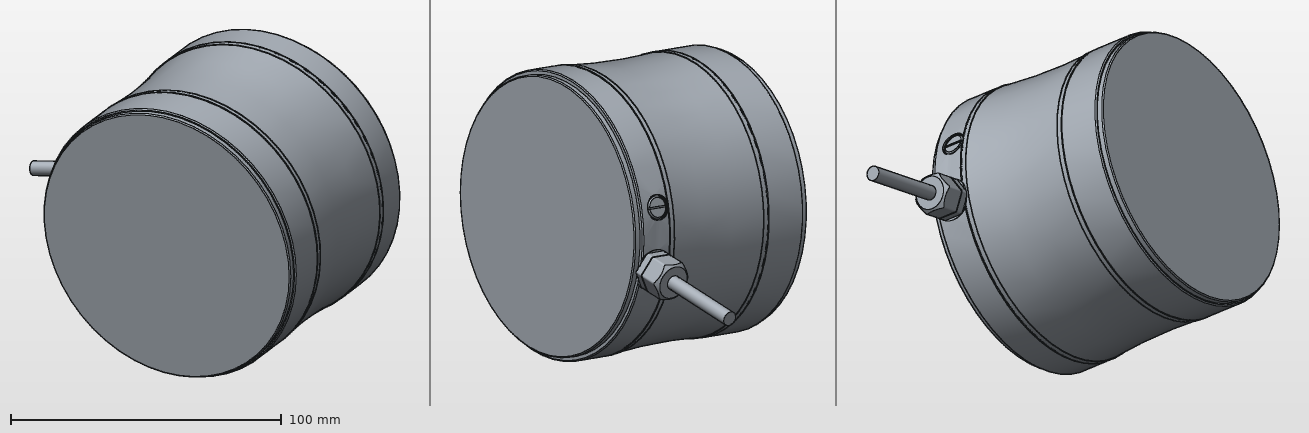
import cadquery as cq
import math

total_length = 80.7
rear_ring_radius = 109.0 / 2
front_ring_radius = 53.6
cap_radius = 52.7
waist_radius = 52.9
barrel_end_recess = 0.3
cap_length = 2.5
front_ring_end = 18.9
rear_ring_start = 65.3
flange_length = 2.0
edge_bevel = 0.5

gland_angle = -13
gland_y = 71.9
gland_seat = 53.8
gland_joint = 57.0
gland_end = 66.4
hex_width = 14.0
hex_edge_radius = 0.9
nut_end_radius = 6.3
nut_bevel_angle = 45
nut_joint_bevel = 0.3
recess_radius = 8.0
cable_radius = 2.8
cable_end = 101.1

screw_angle = 12
screw_y = 70.2
screw_radius = 4.3
screw_top = 54.2
screw_length = 4.6
screw_bevel = 0.6
slot_width = 0.6
slot_depth = 0.8
seal_radius = 4.8
seal_drop = 0.5


def make_disc(radius, start, end):
    """Plain round body on the housing axis."""
    plane = cq.Workplane("XZ", origin=(0, start, 0))
    return plane.circle(radius).extrude(start - end)


def make_barrel():
    """Barrel with a plain flange at each end and a hollow-curved wall between them."""
    front_flange_end = front_ring_end + flange_length
    rear_flange_start = rear_ring_start - flange_length
    waist_y = (front_flange_end + rear_flange_start) / 2
    front_wall_radius = front_ring_radius - barrel_end_recess
    rear_wall_radius = rear_ring_radius - barrel_end_recess
    return (
        cq.Workplane("YZ")
        .moveTo(front_ring_end, 0)
        .lineTo(front_ring_end, front_ring_radius)
        .lineTo(front_flange_end, front_ring_radius)
        .lineTo(front_flange_end, front_wall_radius)
        .threePointArc((waist_y, waist_radius), (rear_flange_start, rear_wall_radius))
        .lineTo(rear_flange_start, rear_ring_radius)
        .lineTo(rear_ring_start, rear_ring_radius)
        .lineTo(rear_ring_start, 0)
        .close()
        .revolve(360, (0, 0, 0), (1, 0, 0))
    )


def radial_plane(angle, y, distance):
    """Plane facing away from the housing axis, its local x along Y."""
    turn = math.radians(angle)
    outward = cq.Vector(-math.cos(turn), 0, math.sin(turn))
    origin = outward * distance + cq.Vector(0, y, 0)
    return cq.Workplane(cq.Plane(origin=origin, xDir=(0, 1, 0), normal=outward))


def radial_cylinder(angle, y, radius, start, end):
    """Cylinder pointing away from the housing axis."""
    return radial_plane(angle, y, start).circle(radius).extrude(end - start)


def gland_hexagon(start, end):
    """Hexagon on the gland axis with rounded long edges."""
    plane = radial_plane(gland_angle, gland_y, start)
    along_axis = cq.selectors.ParallelDirSelector(plane.plane.zDir)
    corner_diameter = hex_width / math.cos(math.radians(30))
    hexagon = plane.polygon(6, corner_diameter).extrude(end - start)
    return hexagon.edges(along_axis).fillet(hex_edge_radius)


def make_gland_nut():
    """Nut bevelled to a circle at its outer end and along its edges at the joint."""
    length = gland_end - gland_joint
    cone = (
        radial_plane(gland_angle, gland_y, gland_end)
        .circle(nut_end_radius)
        .extrude(-length, taper=-nut_bevel_angle)
    )
    nut = gland_hexagon(gland_joint, gland_end)
    nut = nut.faces(">X").chamfer(nut_joint_bevel)
    return nut.intersect(cone)


def make_screw(bottom):
    """Screw with a bevelled, slotted head."""
    body = radial_cylinder(screw_angle, screw_y, screw_radius, bottom, screw_top)
    slot = (
        radial_plane(screw_angle, screw_y, screw_top)
        .rect(2 * screw_radius, slot_width)
        .extrude(-slot_depth)
    )
    return body.faces("<X").chamfer(screw_bevel).cut(slot)


cable = radial_cylinder(gland_angle, gland_y, cable_radius, gland_joint, cable_end)
gland_base = gland_hexagon(gland_seat, gland_joint)
gland_nut = make_gland_nut().cut(cable)
gland_recess = radial_cylinder(gland_angle, gland_y, recess_radius, gland_seat, gland_joint)

screw_bottom = screw_top - screw_length
screw = make_screw(screw_bottom)
screw_hole = radial_cylinder(screw_angle, screw_y, seal_radius, screw_bottom, rear_ring_radius)
seal = (
    radial_plane(screw_angle, screw_y, screw_bottom)
    .circle(seal_radius)
    .circle(screw_radius)
    .extrude(screw_length - seal_drop)
)

rear_ring_end = total_length - cap_length
front_cap = make_disc(cap_radius, 0, cap_length).faces("<Y").chamfer(edge_bevel)
front_ring = make_disc(front_ring_radius, cap_length, front_ring_end).edges().chamfer(edge_bevel)
barrel = make_barrel().cut(gland_recess)
rear_ring = make_disc(rear_ring_radius, rear_ring_start, rear_ring_end).edges().chamfer(edge_bevel)
rear_ring = rear_ring.cut(gland_recess).cut(screw_hole)
rear_cap = make_disc(cap_radius, rear_ring_end, total_length).faces(">Y").chamfer(edge_bevel)

result = cq.Compound.makeCompound([
    front_cap.val(),
    front_ring.val(),
    barrel.val(),
    rear_ring.val(),
    rear_cap.val(),
    gland_base.val(),
    gland_nut.val(),
    cable.val(),
    screw.val(),
    seal.val(),
])